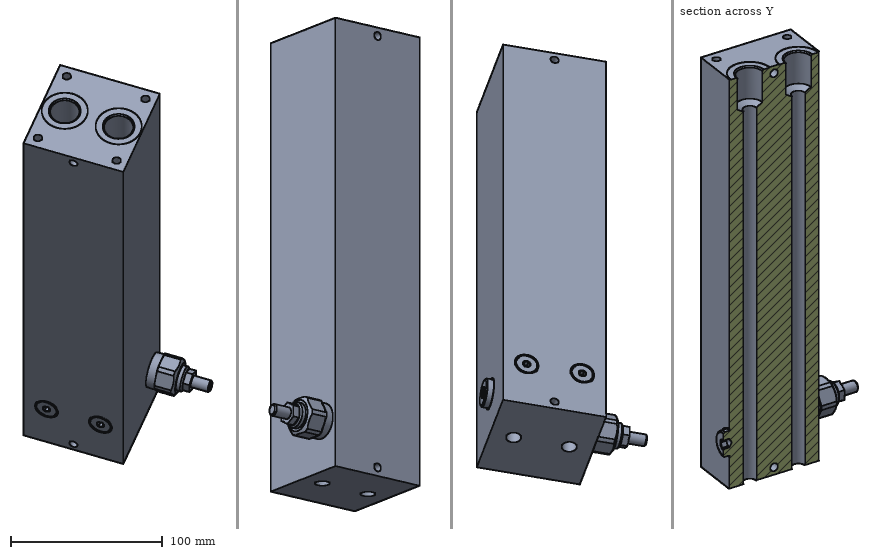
import cadquery as cq
import math

block_width = 70.0
block_height = 310.0
half_width = block_width / 2

bore_offset = 19.0
bore_radius = 5.0
port_radius = 9.5
port_mouth_radius = 10.5
port_depth = 24.8
spotface_radius = 15.2
spotface_depth = 0.3
drill_half_angle = 59.0

screw_offset = 27.5
screw_radius = 2.8
screw_depth = 12.5

mount_radius = 2.8
mount_inset = 6.0

valve_level = 34.7

seat_radius = 8.0
seat_depth = 1.2
flush_plug_radius = 7.0
flush_socket_flats = 4.0
flush_socket_depth = 3.7

socket_rim_width = 0.3

side_seat_radius = 10.5
side_seat_depth = 0.3
side_plug_radius = 9.5
side_plug_height = 4.5
side_plug_chamfer = 1.0
side_socket_flats = 6.2
side_socket_depth = 4.5

valve_y = 20.0
collar_radius = 12.0
collar_length = 6.2
hex_flats = 24.5
hex_turned_radius = 13.3
hex_length = 13.5
hex_chamfer_length = 2.0
hex_chamfer_drop = 2.8
neck_radius = 8.7
neck_length = 4.0
neck_chamfer = 1.2
nut_flats = 13.0
nut_length = 4.5
stem_radius = 4.0
stem_length = 12.7
stem_chamfer = 1.0


def hexagon(plane, flats, length, turn=0):
    """Hexagonal prism on a plane, turned about its axis by the given degrees."""
    corner_diameter = flats / math.cos(math.pi / 6)
    return (
        cq.Workplane(plane)
        .transformed(rotate=(0, 0, turn))
        .polygon(6, corner_diameter)
        .extrude(length)
    )


def hex_socket(plane, flats, depth):
    """Hexagon socket with a countersunk rim and a drill-point bottom."""
    corner_radius = flats / 2 / math.cos(math.pi / 6)
    rim_radius = corner_radius + socket_rim_width
    tip_depth = flats / 2 / math.tan(math.radians(drill_half_angle))
    rim = cq.Solid.makeCone(rim_radius, corner_radius, socket_rim_width, plane.origin, plane.zDir)
    tip_start = plane.toWorldCoords((0, 0, depth))
    tip = cq.Solid.makeCone(flats / 2, 0, tip_depth, tip_start, plane.zDir)
    return hexagon(plane, flats, depth).union(cq.Workplane(rim)).union(cq.Workplane(tip))


def port_cutter(x):
    """Stepped vertical bore: spotface, countersunk port, drill cone and through hole."""
    mouth_level = block_height - spotface_depth
    port_level = mouth_level - (port_mouth_radius - port_radius)
    floor_level = block_height - port_depth
    cone_drop = (port_radius - bore_radius) / math.tan(math.radians(drill_half_angle))
    profile = (
        cq.Workplane("XZ")
        .polyline([
            (0, 0),
            (bore_radius, 0),
            (bore_radius, floor_level - cone_drop),
            (port_radius, floor_level),
            (port_radius, port_level),
            (port_mouth_radius, mouth_level),
            (spotface_radius, mouth_level),
            (spotface_radius, block_height),
            (0, block_height),
        ])
        .close()
    )
    return profile.revolve(360, (0, 0, 0), (0, 1, 0)).translate((x, 0, 0))


def screw_cutter():
    """Blind screw holes with drill-point bottoms at the four corners of the top face."""
    floor_level = block_height - screw_depth
    tip_level = floor_level - screw_radius / math.tan(math.radians(drill_half_angle))
    hole = (
        cq.Workplane("XZ")
        .polyline([
            (0, tip_level),
            (screw_radius, floor_level),
            (screw_radius, block_height),
            (0, block_height),
        ])
        .close()
        .revolve(360, (0, 0, 0), (0, 1, 0))
    )
    cutter = cq.Workplane()
    for x in (-screw_offset, screw_offset):
        for y in (-screw_offset, screw_offset):
            cutter = cutter.add(hole.translate((x, y, 0)))
    return cutter.combine()


def mount_cutter():
    """Two cross holes running the full width of the block."""
    return (
        cq.Workplane("XZ", origin=(0, half_width, 0))
        .pushPoints([(0, mount_inset), (0, block_height - mount_inset)])
        .circle(mount_radius)
        .extrude(block_width)
    )


def flush_plug_cutter(x):
    """Ring gap around a flush plug, and the plug's hexagon socket."""
    plane = cq.Plane(origin=(x, -half_width, valve_level), xDir=(1, 0, 0), normal=(0, 1, 0))
    gap = cq.Workplane(plane).circle(seat_radius).circle(flush_plug_radius).extrude(seat_depth)
    return gap.union(hex_socket(plane, flush_socket_flats, flush_socket_depth))


def add_side_plug(body):
    """Chamfered round plug in a shallow seat on the -X face, with a hexagon socket."""
    outward = cq.Plane(origin=(-half_width, 0, valve_level), xDir=(0, 1, 0), normal=(-1, 0, 0))
    seat = cq.Workplane(outward).circle(side_seat_radius).extrude(-side_seat_depth)
    plug = (
        cq.Workplane(outward)
        .workplane(offset=-side_seat_depth)
        .circle(side_plug_radius)
        .extrude(side_seat_depth + side_plug_height)
        .faces("<X")
        .chamfer(side_plug_chamfer)
    )
    plug_face = cq.Plane(
        origin=(-half_width - side_plug_height, 0, valve_level), xDir=(0, 1, 0), normal=(1, 0, 0)
    )
    socket = hex_socket(plug_face, side_socket_flats, side_socket_depth)
    return body.cut(seat).union(plug).cut(socket)


def valve_plane(distance):
    """Plane across the valve axis at a distance out from the +X face."""
    return cq.Plane(
        origin=(half_width + distance, valve_y, valve_level), xDir=(0, 1, 0), normal=(1, 0, 0)
    )


def cartridge_valve():
    """Collar, turned hexagon, neck, nut and adjusting stem stacked along +X."""
    hex_start = collar_length
    neck_start = hex_start + hex_length
    nut_start = neck_start + neck_length
    stem_start = nut_start + nut_length

    collar = cq.Workplane(valve_plane(0)).circle(collar_radius).extrude(collar_length)
    turned_blank = (
        cq.Workplane(valve_plane(hex_start))
        .circle(hex_turned_radius)
        .extrude(hex_length)
        .faces(">X")
        .chamfer(hex_chamfer_length, hex_chamfer_drop)
    )
    body_hex = hexagon(valve_plane(hex_start), hex_flats, hex_length).intersect(turned_blank)
    neck = (
        cq.Workplane(valve_plane(neck_start))
        .circle(neck_radius)
        .extrude(neck_length)
        .faces(">X")
        .chamfer(neck_chamfer)
    )
    nut = hexagon(valve_plane(nut_start), nut_flats, nut_length, turn=30)
    stem = (
        cq.Workplane(valve_plane(stem_start))
        .circle(stem_radius)
        .extrude(stem_length)
        .faces(">X")
        .chamfer(stem_chamfer)
    )
    return collar.union(body_hex).union(neck).union(nut).union(stem)


block = cq.Workplane("XY").box(block_width, block_width, block_height, centered=(True, True, False))
for bore_x in (-bore_offset, bore_offset):
    block = block.cut(port_cutter(bore_x))
    block = block.cut(flush_plug_cutter(bore_x))
block = block.cut(screw_cutter())
block = block.cut(mount_cutter())
block = add_side_plug(block)

result = block.union(cartridge_valve())